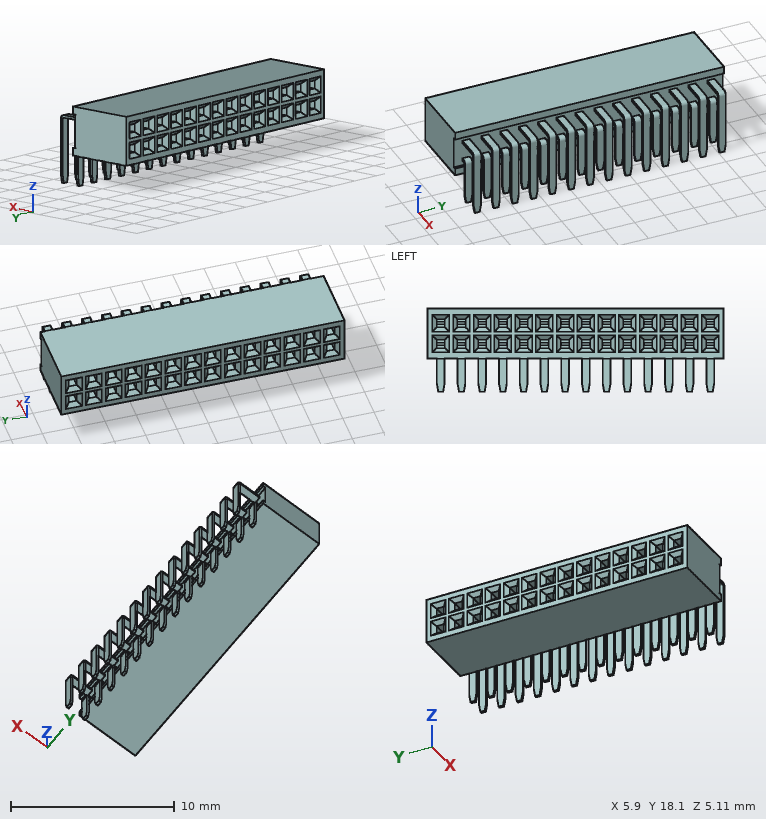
import cadquery as cq


strip_length = 18.13
total_depth = 5.9
total_height = 5.11

columns = 14
pitch = 1.27

body_depth = 4.39
body_height = 3.08
body_bottom = total_height - body_height
body_middle = body_bottom + body_height / 2
recess_depth = 0.18
lip_height = 0.49

mouth_size = 1.03
hole_size = 0.5
lead_in_depth = 0.27
hole_depth = 1.45

pin_width = 0.49
pin_thickness = 0.16
bend_outer_radius = 0.24
bend_inner_radius = bend_outer_radius - pin_thickness
tip_width = 0.3
tip_length = 0.5
pin_stub = 0.18
pin_start = hole_depth - pin_stub

column_positions = [(i - (columns - 1) / 2) * pitch for i in range(columns)]
lower_row = body_middle - pitch / 2
upper_row = body_middle + pitch / 2

rows = [
    (lower_row, total_depth - pitch),
    (upper_row, total_depth),
]


def make_housing():
    """Plain block with a full-length recess between two lips at the rear."""
    block = cq.Workplane("XY").box(
        body_depth, strip_length, body_height, centered=(False, True, False)
    )
    recess = cq.Workplane("XY").box(
        recess_depth, strip_length, body_height - 2 * lip_height, centered=(False, True, False)
    )
    block = block.translate((0, 0, body_bottom))
    recess = recess.translate((body_depth - recess_depth, 0, body_bottom + lip_height))
    return block.cut(recess)


def make_socket():
    """Cutter for one socket, centred on Y = Z = 0 and opening at X = 0."""
    lead_in = (
        cq.Workplane("YZ")
        .rect(mouth_size, mouth_size)
        .workplane(offset=lead_in_depth)
        .rect(hole_size, hole_size)
        .loft(ruled=True)
    )
    hole = cq.Workplane("YZ").rect(hole_size, hole_size).extrude(hole_depth)
    return lead_in.union(hole)


def make_pin(row_height, rear):
    """One bent pin, centred on Y = 0."""
    top = row_height + pin_thickness / 2
    front = rear - pin_thickness
    bar = (
        cq.Workplane("XZ")
        .moveTo(pin_start, top)
        .lineTo(rear - bend_outer_radius, top)
        .radiusArc((rear, top - bend_outer_radius), bend_outer_radius)
        .lineTo(rear, 0)
        .lineTo(front, 0)
        .lineTo(front, top - bend_outer_radius)
        .radiusArc((rear - bend_outer_radius, top - pin_thickness), -bend_inner_radius)
        .lineTo(pin_start, top - pin_thickness)
        .close()
        .extrude(pin_width / 2, both=True)
    )
    outline = (
        cq.Workplane("YZ")
        .moveTo(-tip_width / 2, 0)
        .lineTo(tip_width / 2, 0)
        .lineTo(pin_width / 2, tip_length)
        .lineTo(pin_width / 2, top)
        .lineTo(-pin_width / 2, top)
        .lineTo(-pin_width / 2, tip_length)
        .close()
        .extrude(rear)
    )
    return bar.intersect(outline)


housing = make_housing()
socket = make_socket().val()
sockets = [
    socket.translate(cq.Vector(0, y, row_height))
    for row_height, _ in rows
    for y in column_positions
]
pins = [
    make_pin(row_height, rear).val().translate(cq.Vector(0, y, 0))
    for row_height, rear in rows
    for y in column_positions
]

body = housing.val().cut(*sockets)
result = cq.Workplane(obj=body.fuse(*pins))